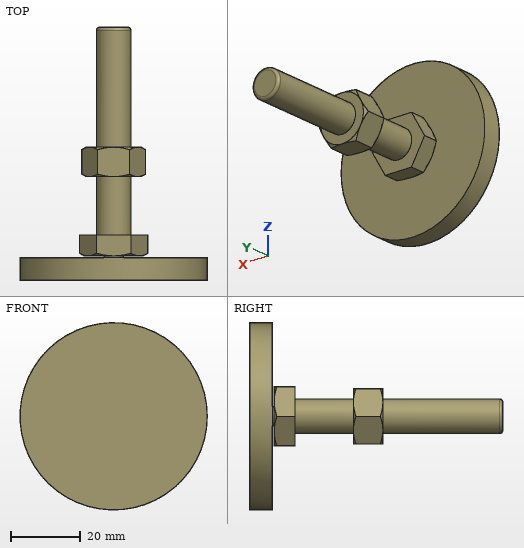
import math

import cadquery as cq


PLATE_DIAMETER = 54.0
PLATE_THICKNESS = 6.6

OVERALL_LENGTH = 73.0
STUD_DIAMETER = 10.0
STUD_TIP_FILLET = 0.95
HEAD_ACROSS_FLATS = 17.1
HEAD_THICKNESS = 6.05
NECK_BASE_DIAMETER = 5.8
NECK_TOP_DIAMETER = 5.3
NECK_LENGTH = 0.5

NUT_ACROSS_FLATS = 16.0
NUT_THICKNESS = 8.5
NUT_START = 29.9

CORNER_CHAMFER_ANGLE = math.radians(30)

HEAD_START = PLATE_THICKNESS + NECK_LENGTH
SHANK_START = HEAD_START + HEAD_THICKNESS


def cylinder(diameter, start, length):
    """Cylinder along +Y beginning at Y = start."""
    base = cq.Workplane("XZ", origin=(0, start, 0))
    return base.circle(diameter / 2).extrude(-length)


def hexagon(across_flats, start, thickness, chamfer_far_end):
    """Hexagonal prism with corners on the X axis, cone-chamfered at its near or both ends."""
    corner_radius = across_flats / math.sqrt(3)
    face_radius = across_flats / 2
    drop = (corner_radius - face_radius) * math.tan(CORNER_CHAMFER_ANGLE)
    end = start + thickness

    prism = (
        cq.Workplane("XZ", origin=(0, start, 0))
        .polygon(6, 2 * corner_radius)
        .extrude(-thickness)
    )
    profile = [(0, start), (face_radius, start), (corner_radius, start + drop)]
    if chamfer_far_end:
        profile += [(corner_radius, end - drop), (face_radius, end), (0, end)]
    else:
        profile += [(corner_radius, end), (0, end)]
    envelope = cq.Workplane("XY").polyline(profile).close().revolve(360, (0, 0, 0), (0, 1, 0))
    return prism.intersect(envelope)


def make_plate():
    return cylinder(PLATE_DIAMETER, 0, PLATE_THICKNESS)


def make_neck():
    """Cone that narrows from the plate to the head."""
    profile = [
        (0, PLATE_THICKNESS),
        (NECK_BASE_DIAMETER / 2, PLATE_THICKNESS),
        (NECK_TOP_DIAMETER / 2, HEAD_START),
        (0, HEAD_START),
    ]
    return cq.Workplane("XY").polyline(profile).close().revolve(360, (0, 0, 0), (0, 1, 0))


def make_stud():
    neck = make_neck()
    head = hexagon(HEAD_ACROSS_FLATS, HEAD_START, HEAD_THICKNESS, chamfer_far_end=False)
    shank = cylinder(STUD_DIAMETER, SHANK_START, OVERALL_LENGTH - SHANK_START)
    shank = shank.faces(">Y").fillet(STUD_TIP_FILLET)
    return neck.union(head).union(shank)


def make_nut():
    blank = hexagon(NUT_ACROSS_FLATS, NUT_START, NUT_THICKNESS, chamfer_far_end=True)
    bore = cylinder(STUD_DIAMETER, NUT_START, NUT_THICKNESS)
    return blank.cut(bore)


plate = make_plate()
stud = make_stud()
nut = make_nut()

result = cq.Compound.makeCompound([plate.val(), stud.val(), nut.val()])